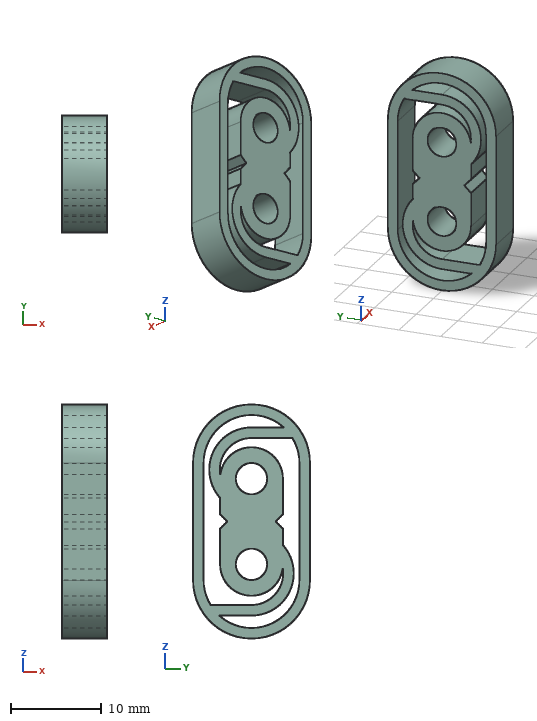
import cadquery as cq
import math

thickness = 5.0
width = 13.0
height = 26.0

wall = 1.2

core_width = 7.0
hole_spacing = 9.5
hole_diameter = 3.45
notch_depth = 0.8

bend_offset = 1.0
arm_inner_radius = core_width / 2
arm_outer_radius = arm_inner_radius + wall
hole_z = hole_spacing / 2
bend_z = hole_z + bend_offset


def stadium(total_height, total_width):
    """Upright stadium-shaped prism spanning the full thickness."""
    return (
        cq.Workplane("YZ")
        .slot2D(total_height, total_width, angle=90)
        .extrude(thickness)
    )


def make_ring():
    opening = stadium(height - 2 * wall, width - 2 * wall)
    return stadium(height, width).cut(opening)


def make_core():
    """Rounded core with a 90 degree V notch halfway up each side."""
    core = stadium(hole_spacing + core_width, core_width)
    notches = (
        cq.Workplane("YZ")
        .pushPoints([(-core_width / 2, 0), (core_width / 2, 0)])
        .polygon(4, 2 * notch_depth)
        .extrude(thickness)
    )
    return core.cut(notches)


def mid_wall_y(z):
    """Distance from the centre plane to mid-wall of the ring's upper cap at height z."""
    cap_radius = (width - wall) / 2
    cap_z = (height - width) / 2
    return math.sqrt(cap_radius**2 - (z - cap_z) ** 2)


def make_upper_arm():
    """Arm rooted in the +Y side of the ring, bending down into the -Y side of the core."""
    diagonal = math.sqrt(0.5)
    arm_top = bend_z + arm_outer_radius
    arm_bottom = bend_z + arm_inner_radius

    outer_end_z = bend_z - math.sqrt(arm_outer_radius**2 - (core_width / 2) ** 2)
    inner_end_y = -math.sqrt(arm_inner_radius**2 - bend_offset**2)

    return (
        cq.Workplane("YZ")
        .moveTo(mid_wall_y(arm_top), arm_top)
        .lineTo(0, arm_top)
        .threePointArc(
            (-arm_outer_radius * diagonal, bend_z + arm_outer_radius * diagonal),
            (-core_width / 2, outer_end_z),
        )
        .lineTo(inner_end_y, hole_z)
        .threePointArc(
            (-arm_inner_radius * diagonal, bend_z + arm_inner_radius * diagonal),
            (0, arm_bottom),
        )
        .lineTo(mid_wall_y(arm_bottom), arm_bottom)
        .close()
        .extrude(thickness)
    )


def make_holes():
    return (
        cq.Workplane("YZ")
        .pushPoints([(0, -hole_z), (0, hole_z)])
        .circle(hole_diameter / 2)
        .extrude(thickness)
    )


upper_arm = make_upper_arm()
lower_arm = upper_arm.rotate((0, 0, 0), (1, 0, 0), 180)

result = make_ring().union(make_core()).union(upper_arm).union(lower_arm).cut(make_holes())